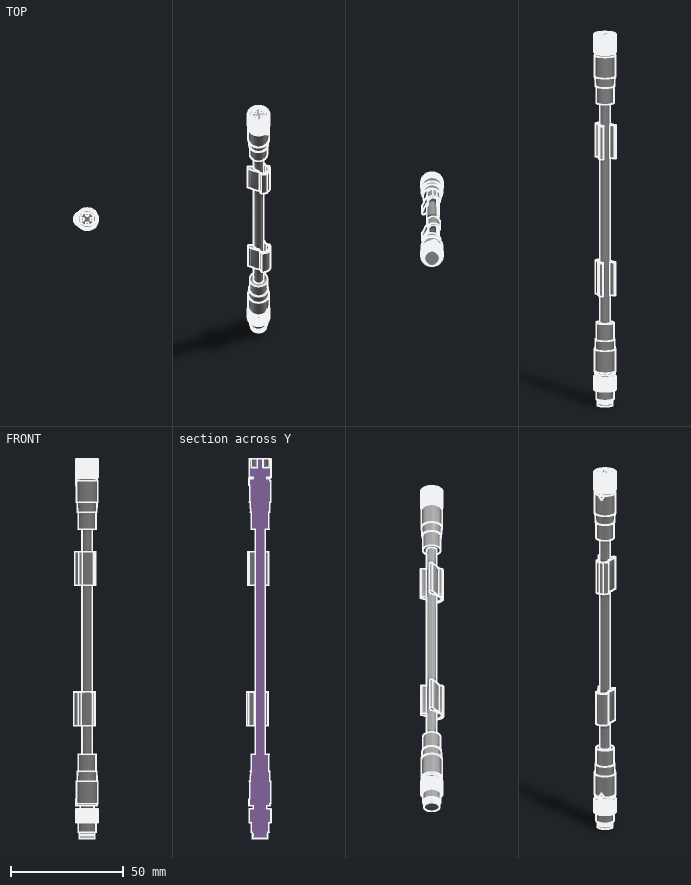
import cadquery as cq
import math

TOTAL_LENGTH = 168.7
CABLE_RADIUS = 2.35

RING_RADIUS = 4.955
KNURL_DEPTH = 0.35
KNURL_TEETH = 60
RING_CHAMFER = 0.3
PLUG_RING_LENGTH = 6.3
SOCKET_RING_LENGTH = 8.4

NECK_RADIUS = 3.1
PLUG_NECK_LENGTH = 1.2
SOCKET_NECK_LENGTH = 0.4
COLLAR_RADIUS = 4.5
COLLAR_LENGTH = 1.0
GRIP_RADIUS = 4.75
PLUG_GRIP_LENGTH = 10.0
SOCKET_GRIP_LENGTH = 9.6
SHOULDER_START_RADIUS = 4.5
SHOULDER_END_RADIUS = 4.3
SHOULDER_LENGTH = 4.4
TAIL_RADIUS = 4.0
TAIL_LENGTH = 7.6

ARROW_LENGTH = 2.0
ARROW_HALF_WIDTH = 1.3
ARROW_STEM_HALF_WIDTH = 0.3
ARROW_STEM_LENGTH = 1.0
ARROW_OUTER_X = -RING_RADIUS

PLUG_TIP_RADIUS = 3.5
PLUG_TIP_LENGTH = 2.8
PLUG_TIP_GROOVE_RADIUS = 3.2
PLUG_TIP_GROOVE_START = 1.2
PLUG_TIP_GROOVE_LENGTH = 0.7
PLUG_BODY_RADIUS = 4.0
PLUG_BODY_LENGTH = 4.2

SOCKET_GAP_OUTER_RADIUS = 3.9
SOCKET_INSERT_RADIUS = 3.0
SOCKET_GAP_DEPTH = 4.0
CONTACT_CIRCLE_RADIUS = 2.0
CONTACT_DIAMETER = 1.3
CONTACT_COUNT = 4
CONTACT_DEPTH = 4.0

CLIP_LENGTH = 15.0
CLIP_NOSE_X = -5.945
CLIP_NOSE_RADIUS = 3.2
CLIP_NOSE_END_ANGLE = 68.0
CLIP_CAVITY_RADIUS = 2.3
CLIP_PANEL_START = (-2.5, 2.35)
CLIP_PANEL_END = (1.9, 3.65)
CLIP_PANEL_BULGE = 0.2
CLIP_LIP_CORNER = (2.6, 4.0)
CLIP_LIP_END_X = 3.5
CLIP_LIP_END_Y = 2.8
CLIP_THROAT = (1.5, 1.5)
LOWER_CLIP_BOTTOM = 50.1
UPPER_CLIP_BOTTOM = 112.4
UPPER_CLIP_SHIFT = 0.3
UPPER_CLIP_FLAT_X = -5.5


def cylinder(radius, bottom, length):
    return cq.Workplane("XY").workplane(offset=bottom).circle(radius).extrude(length)


def knurled_ring(bottom, length):
    """Coupling ring with pointed teeth and chamfered ends."""
    points = []
    for i in range(2 * KNURL_TEETH):
        radius = RING_RADIUS - KNURL_DEPTH * (i % 2)
        angle = math.pi * i / KNURL_TEETH
        points.append((radius * math.cos(angle), radius * math.sin(angle)))
    ring = cq.Workplane("XY").workplane(offset=bottom).polyline(points).close().extrude(length)
    chamfered_blank = cylinder(RING_RADIUS, bottom, length).edges().chamfer(RING_CHAMFER)
    return ring.intersect(chamfered_blank)


def grip(ring_face, direction, neck_length, grip_length):
    """Moulded grip, from a ring face at height ring_face toward the cable (direction +1 or -1)."""
    collar_start = ring_face + direction * neck_length
    grip_start = collar_start + direction * COLLAR_LENGTH
    shoulder_start = grip_start + direction * grip_length
    tail_start = shoulder_start + direction * SHOULDER_LENGTH
    tail_end = tail_start + direction * TAIL_LENGTH
    body = (
        cq.Workplane("XZ")
        .moveTo(0, ring_face)
        .lineTo(NECK_RADIUS, ring_face)
        .lineTo(NECK_RADIUS, collar_start)
        .lineTo(COLLAR_RADIUS, collar_start)
        .lineTo(COLLAR_RADIUS, grip_start)
        .lineTo(GRIP_RADIUS, grip_start)
        .lineTo(GRIP_RADIUS, shoulder_start)
        .lineTo(SHOULDER_START_RADIUS, shoulder_start)
        .lineTo(SHOULDER_END_RADIUS, tail_start)
        .lineTo(TAIL_RADIUS, tail_start)
        .lineTo(TAIL_RADIUS, tail_end)
        .lineTo(0, tail_end)
        .close()
        .revolve(360, (0, 0, 0), (0, 1, 0))
    )
    return body.union(arrow(collar_start, direction))


def arrow(start, direction):
    """Raised arrow: a narrow stem followed by a triangular head."""
    head_start = start + direction * ARROW_STEM_LENGTH
    tip = head_start + direction * ARROW_LENGTH
    return (
        cq.Workplane("YZ")
        .workplane(offset=ARROW_OUTER_X)
        .moveTo(-ARROW_STEM_HALF_WIDTH, start)
        .lineTo(ARROW_STEM_HALF_WIDTH, start)
        .lineTo(ARROW_STEM_HALF_WIDTH, head_start)
        .lineTo(ARROW_HALF_WIDTH, head_start)
        .lineTo(0, tip)
        .lineTo(-ARROW_HALF_WIDTH, head_start)
        .lineTo(-ARROW_STEM_HALF_WIDTH, head_start)
        .close()
        .extrude(-ARROW_OUTER_X)
    )


def plug():
    """Male end: stepped nose, coupling ring and grip."""
    ring_bottom = PLUG_TIP_LENGTH + PLUG_BODY_LENGTH
    ring_top = ring_bottom + PLUG_RING_LENGTH
    tip_groove = (
        cq.Workplane("XY")
        .workplane(offset=PLUG_TIP_GROOVE_START)
        .circle(PLUG_TIP_RADIUS + 1)
        .circle(PLUG_TIP_GROOVE_RADIUS)
        .extrude(PLUG_TIP_GROOVE_LENGTH)
    )
    nose = cylinder(PLUG_TIP_RADIUS, 0, PLUG_TIP_LENGTH).cut(tip_groove)
    return (
        nose.union(cylinder(PLUG_BODY_RADIUS, PLUG_TIP_LENGTH, PLUG_BODY_LENGTH))
        .union(knurled_ring(ring_bottom, PLUG_RING_LENGTH))
        .union(grip(ring_top, 1, PLUG_NECK_LENGTH, PLUG_GRIP_LENGTH))
    )


def socket():
    """Female end: coupling ring with the contact insert, and grip."""
    ring_bottom = TOTAL_LENGTH - SOCKET_RING_LENGTH
    top_face = cq.Workplane("XY").workplane(offset=TOTAL_LENGTH)
    gap = top_face.circle(SOCKET_GAP_OUTER_RADIUS).circle(SOCKET_INSERT_RADIUS).extrude(-SOCKET_GAP_DEPTH)
    contacts = (
        top_face.polarArray(CONTACT_CIRCLE_RADIUS, 0, 360, CONTACT_COUNT)
        .circle(CONTACT_DIAMETER / 2)
        .extrude(-CONTACT_DEPTH)
    )
    ring = knurled_ring(ring_bottom, SOCKET_RING_LENGTH)
    socket_grip = grip(ring_bottom, -1, SOCKET_NECK_LENGTH, SOCKET_GRIP_LENGTH)
    return ring.cut(gap).cut(contacts).union(socket_grip)


def label_clip(bottom):
    """Label clip, symmetric about the XZ plane, with recessed panels on the outside of its arms."""
    nose_center_x = CLIP_NOSE_X + CLIP_NOSE_RADIUS
    end_angle = math.radians(CLIP_NOSE_END_ANGLE)
    nose_end_x = nose_center_x - CLIP_NOSE_RADIUS * math.cos(end_angle)
    nose_end_y = CLIP_NOSE_RADIUS * math.sin(end_angle)
    panel_middle_x = (CLIP_PANEL_START[0] + CLIP_PANEL_END[0]) / 2
    panel_middle_y = (CLIP_PANEL_START[1] + CLIP_PANEL_END[1]) / 2 + CLIP_PANEL_BULGE
    lip_x, lip_y = CLIP_LIP_CORNER
    lip_bend_x = lip_x + (CLIP_LIP_END_X - lip_x) * math.sin(math.pi / 4)
    lip_bend_y = CLIP_LIP_END_Y + (lip_y - CLIP_LIP_END_Y) * math.sin(math.pi / 4)
    throat_x, throat_y = CLIP_THROAT
    body = (
        cq.Workplane("XY")
        .workplane(offset=bottom)
        .moveTo(nose_end_x, -nose_end_y)
        .threePointArc((CLIP_NOSE_X, 0), (nose_end_x, nose_end_y))
        .lineTo(*CLIP_PANEL_START)
        .threePointArc((panel_middle_x, panel_middle_y), CLIP_PANEL_END)
        .lineTo(lip_x, lip_y)
        .threePointArc((lip_bend_x, lip_bend_y), (CLIP_LIP_END_X, CLIP_LIP_END_Y))
        .lineTo(throat_x, throat_y)
        .lineTo(throat_x, -throat_y)
        .lineTo(CLIP_LIP_END_X, -CLIP_LIP_END_Y)
        .threePointArc((lip_bend_x, -lip_bend_y), (lip_x, -lip_y))
        .lineTo(CLIP_PANEL_END[0], -CLIP_PANEL_END[1])
        .threePointArc((panel_middle_x, -panel_middle_y), (CLIP_PANEL_START[0], -CLIP_PANEL_START[1]))
        .close()
        .extrude(CLIP_LENGTH)
    )
    cavity = cylinder(CLIP_CAVITY_RADIUS, bottom, CLIP_LENGTH).translate((nose_center_x, 0, 0))
    return body.cut(cavity)


def upper_clip():
    """Second clip, set slightly toward +X, with a narrow flat along its nose."""
    clip = label_clip(UPPER_CLIP_BOTTOM).translate((UPPER_CLIP_SHIFT, 0, 0))
    beyond_flat = (
        cq.Workplane("YZ")
        .workplane(offset=UPPER_CLIP_FLAT_X)
        .rect(2 * RING_RADIUS, 2 * TOTAL_LENGTH)
        .extrude(-RING_RADIUS)
    )
    return clip.cut(beyond_flat)


cable_start = PLUG_TIP_LENGTH + PLUG_BODY_LENGTH + PLUG_RING_LENGTH
cable_end = TOTAL_LENGTH - SOCKET_RING_LENGTH
cable = cylinder(CABLE_RADIUS, cable_start, cable_end - cable_start)

result = (
    cable.union(plug())
    .union(socket())
    .union(label_clip(LOWER_CLIP_BOTTOM))
    .union(upper_clip())
)